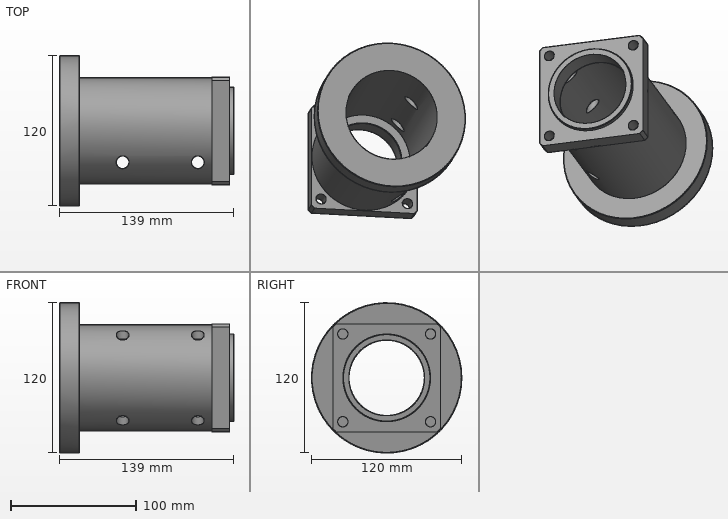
import cadquery as cq

total_length = 139.0
flange_thickness = 16.0
plate_thickness = 14.0
spigot_length = 3.5
plate_start = total_length - spigot_length - plate_thickness

flange_diameter = 120.0
tube_diameter = 85.0
spigot_diameter = 70.0
flange_chamfer = 0.5
spigot_chamfer = 0.5

wide_bore_diameter = 74.0
narrow_bore_diameter = 60.0
narrow_bore_chamfer = 0.5
wide_bore_depth = plate_start

plate_side = 86.0
plate_corner_diameter = 118.0
plate_hole_diameter = 8.2
plate_hole_spacing = 70.0

cross_hole_diameter = 10.0
cross_hole_offset_y = -25.0
cross_hole_spacing = 60.0
first_cross_hole_x = 50.25


def cylinder(start_x, length, diameter):
    """Solid cylinder along +X, centred on the tube axis."""
    return cq.Workplane("YZ", origin=(start_x, 0, 0)).circle(diameter / 2).extrude(length)


def make_flange():
    return cylinder(0, flange_thickness, flange_diameter).edges().chamfer(flange_chamfer)


def make_end_plate():
    square = (
        cq.Workplane("YZ", origin=(plate_start, 0, 0))
        .rect(plate_side, plate_side)
        .extrude(plate_thickness)
    )
    return square.intersect(cylinder(plate_start, plate_thickness, plate_corner_diameter))


def make_spigot():
    spigot = cylinder(plate_start, total_length - plate_start, spigot_diameter)
    return spigot.faces(">X").edges().chamfer(spigot_chamfer)


def make_bore():
    wide = cylinder(0, wide_bore_depth, wide_bore_diameter)
    narrow = cylinder(0, total_length, narrow_bore_diameter)
    step_radius = narrow_bore_diameter / 2 + narrow_bore_chamfer
    step_chamfer = (
        cq.Workplane("YZ", origin=(wide_bore_depth, 0, 0))
        .circle(step_radius)
        .extrude(narrow_bore_chamfer, taper=45)
    )
    return wide.union(narrow).union(step_chamfer)


def make_plate_holes():
    return (
        cq.Workplane("YZ", origin=(plate_start, 0, 0))
        .rect(plate_hole_spacing, plate_hole_spacing, forConstruction=True)
        .vertices()
        .circle(plate_hole_diameter / 2)
        .extrude(plate_thickness)
    )


def make_cross_holes():
    hole_centres = [
        (first_cross_hole_x, cross_hole_offset_y),
        (first_cross_hole_x + cross_hole_spacing, cross_hole_offset_y),
    ]
    return (
        cq.Workplane("XY")
        .pushPoints(hole_centres)
        .circle(cross_hole_diameter / 2)
        .extrude(tube_diameter / 2, both=True)
    )


body = make_flange().union(cylinder(0, plate_start, tube_diameter))
body = body.union(make_end_plate()).union(make_spigot())
result = body.cut(make_bore()).cut(make_plate_holes()).cut(make_cross_holes())